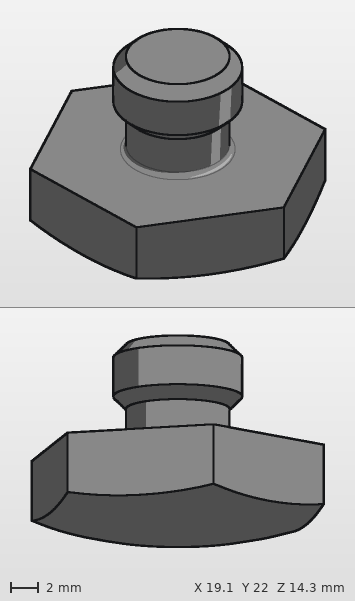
import cadquery as cq
import math

sides = 6
across_flats = 19.05
head_height = 6.35
dome_radius = 31.75

pin_height = 7.92
tip_radius = 4.67
neck_radius = 3.75
bevel = tip_radius - neck_radius
tip_height = 4.7
root_fillet = 0.4

total_height = head_height + pin_height
tip_bottom = total_height - tip_height
fillet_top = head_height + root_fillet


def make_head():
    """Hexagonal prism whose underside is a shallow spherical dome."""
    half_side_angle = 180 / sides
    across_corners = across_flats / math.cos(math.radians(half_side_angle))
    prism = (
        cq.Workplane("XY")
        .polygon(sides, across_corners)
        .extrude(head_height)
        .rotate((0, 0, 0), (0, 0, 1), half_side_angle)
    )
    dome = cq.Workplane("XY").sphere(dome_radius).translate((0, 0, dome_radius))
    return prism.intersect(dome)


def make_pin():
    """Revolved pin: filleted root, narrow neck and a double-bevelled tip."""
    root_radius = neck_radius + root_fillet
    arc_offset = root_fillet * (1 - math.sqrt(0.5))
    arc_middle = (neck_radius + arc_offset, head_height + arc_offset)
    core_bottom = head_height / 2
    profile = (
        cq.Workplane("XZ")
        .moveTo(0, core_bottom)
        .lineTo(root_radius, core_bottom)
        .lineTo(root_radius, head_height)
        .threePointArc(arc_middle, (neck_radius, fillet_top))
        .lineTo(neck_radius, tip_bottom)
        .lineTo(tip_radius, tip_bottom + bevel)
        .lineTo(tip_radius, total_height - bevel)
        .lineTo(neck_radius, total_height)
        .lineTo(0, total_height)
        .close()
    )
    return profile.revolve(360, (0, 0, 0), (0, 1, 0))


result = make_head().union(make_pin())